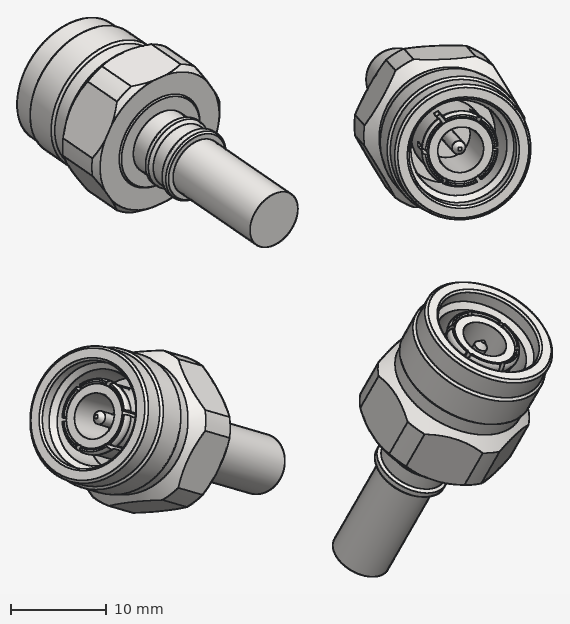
import cadquery as cq
import math


FULL_TURN = 360.0

length = 33.9

sleeve_radius = 7.25
mouth_outer_chamfer = 0.27
band_radius = 7.53
band_chamfer = band_radius - sleeve_radius
band_start = 2.5
band_end = 6.55
hex_start = 8.15
hex_end = 14.95
hex_across_flats = 15.85
hex_corner_diameter = 17.2
hex_corner_radius = hex_corner_diameter / 2
hex_front_chamfer = hex_corner_radius - sleeve_radius
hex_rear_chamfer = 0.6
hex_corner_count = 6

mouth_radius = 5.95
bore_radius = 5.73
mouth_inner_chamfer = mouth_radius - bore_radius
bore_depth = 1.6
throat_radius = 5.12
throat_start = bore_depth + bore_radius - throat_radius

collar_start = 8.15
collar_radius = 5.42
collar_rear_chamfer = 0.17
collar_end = hex_end + collar_rear_chamfer

neck_radius = 3.65
tube_radius = 3.22
barb_radius = 4.05
barb_front_length = 0.2
front_barb_start = 17.4
front_barb_crest_end = 18.07
front_barb_end = 18.4
rear_barb_start = 20.15
rear_barb_end = 21.15
rear_barb_chamfer = 0.2

insulator_front = 1.3
insulator_outer_radius = 3.42
insulator_bore_radius = 2.45
finger_front = 1.05
finger_root_radius = 3.83
finger_bulge_radius = 4.05
finger_tip_inner_radius = 3.6
finger_tip_outer_radius = 3.8
finger_inner_chamfer = finger_tip_inner_radius - insulator_outer_radius
finger_bulge_crest = 1.7
finger_bulge_end = 2.37
finger_slot_width = 0.5
finger_slot_end = 4.75
finger_count = 6

pin_front = 1.65
pin_radius = 0.7
pin_tip_radius = 0.2
pin_shoulder_radius = 0.65
pin_shoulder = 2.25
pin_shoulder_chamfer = pin_radius - pin_shoulder_radius


def revolved(profile):
    """Turn a closed (x, radius) profile about the X axis."""
    return cq.Workplane("XY").polyline(profile).close().revolve(FULL_TURN, (0, 0, 0), (1, 0, 0))


def cylinder(start, end, radius):
    """A round bar along the X axis."""
    return cq.Workplane("YZ").workplane(offset=start).circle(radius).extrude(end - start)


def make_hex():
    """Hexagon with flats facing +Z and -Z, its corners turned down and chamfered."""
    across_corners = hex_across_flats / math.cos(math.pi / hex_corner_count)
    prism = (
        cq.Workplane("YZ")
        .workplane(offset=hex_start)
        .polygon(hex_corner_count, across_corners)
        .extrude(hex_end - hex_start)
    )
    turned_blank = revolved([
        (hex_start, 0),
        (hex_start, sleeve_radius),
        (hex_start + hex_front_chamfer, hex_corner_radius),
        (hex_end - hex_rear_chamfer, hex_corner_radius),
        (hex_end, hex_corner_radius - hex_rear_chamfer),
        (hex_end, 0),
    ])
    return prism.intersect(turned_blank)


def make_nut():
    """Coupling nut: banded sleeve and hexagon, bored right through."""
    sleeve = revolved([
        (0, 0),
        (0, sleeve_radius - mouth_outer_chamfer),
        (mouth_outer_chamfer, sleeve_radius),
        (band_start, sleeve_radius),
        (band_start + band_chamfer, band_radius),
        (band_end - band_chamfer, band_radius),
        (band_end, sleeve_radius),
        (hex_start, sleeve_radius),
        (hex_start, 0),
    ])
    bore = revolved([
        (0, 0),
        (0, mouth_radius),
        (mouth_inner_chamfer, bore_radius),
        (bore_depth, bore_radius),
        (throat_start, throat_radius),
        (collar_start, throat_radius),
        (collar_start, collar_radius),
        (hex_end, collar_radius),
        (hex_end, 0),
    ])
    return sleeve.union(make_hex()).cut(bore)


def make_shank():
    """Collar, neck with two crimp barbs, and the long tube."""
    return revolved([
        (collar_start, 0),
        (collar_start, collar_radius),
        (hex_end, collar_radius),
        (collar_end, collar_radius - collar_rear_chamfer),
        (collar_end, neck_radius),
        (front_barb_start, neck_radius),
        (front_barb_start + barb_front_length, barb_radius),
        (front_barb_crest_end, barb_radius),
        (front_barb_end, neck_radius),
        (rear_barb_start, neck_radius),
        (rear_barb_start + barb_front_length, barb_radius),
        (rear_barb_end - rear_barb_chamfer, barb_radius),
        (rear_barb_end, barb_radius - rear_barb_chamfer),
        (rear_barb_end, tube_radius),
        (length, tube_radius),
        (length, 0),
    ])


def make_fingers():
    """Ring of spring fingers with bulged tips, parted by radial slots."""
    ring = (
        cq.Workplane("XY")
        .moveTo(collar_start, insulator_outer_radius)
        .lineTo(finger_front + finger_inner_chamfer, insulator_outer_radius)
        .lineTo(finger_front, finger_tip_inner_radius)
        .lineTo(finger_front, finger_tip_outer_radius)
        .threePointArc((finger_bulge_crest, finger_bulge_radius), (finger_bulge_end, finger_root_radius))
        .lineTo(collar_start, finger_root_radius)
        .close()
        .revolve(FULL_TURN, (0, 0, 0), (1, 0, 0))
    )
    slot_length = finger_slot_end - finger_front
    for index in range(finger_count):
        slot = cq.Workplane("XY").box(
            slot_length, throat_radius, finger_slot_width, centered=(False, False, True)
        )
        slot = slot.translate((finger_front, 0, 0))
        ring = ring.cut(slot.rotate((0, 0, 0), (1, 0, 0), index * FULL_TURN / finger_count))
    return ring


def make_insulator():
    """Insulating sleeve inside the fingers, open at the front."""
    sleeve = cylinder(insulator_front, collar_start, insulator_outer_radius)
    return sleeve.cut(cylinder(insulator_front, collar_start, insulator_bore_radius))


def make_pin():
    """Centre contact with a blunt conical tip and a chamfered shoulder."""
    return revolved([
        (pin_front, 0),
        (pin_front, pin_tip_radius),
        (pin_shoulder, pin_shoulder_radius),
        (pin_shoulder + pin_shoulder_chamfer, pin_radius),
        (collar_start, pin_radius),
        (collar_start, 0),
    ])


def make_body():
    """Connector body in one piece: shank, fingers, insulator and centre contact."""
    return make_shank().union(make_fingers()).union(make_insulator()).union(make_pin())


nut = make_nut()
body = make_body()

result = cq.Compound.makeCompound([nut.val(), body.val()])